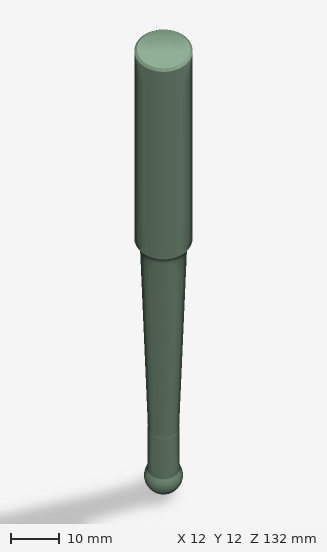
import cadquery as cq
import math

TOTAL_LENGTH = 132.0
SHANK_DIAMETER = 12.0
BALL_DIAMETER = 8.0

SHANK_BOTTOM_Z = 75.1
TOP_CHAMFER = 0.5
TAPER_TOP_Z = 73.4
TAPER_TOP_DIAMETER = 9.8
TAPER_BOTTOM_Z = 18.9
TAPER_BOTTOM_DIAMETER = 6.5

TIP_NECK_DIAMETER = 6.6
TIP_CHAMFER_HEIGHT = 0.8

shank_radius = SHANK_DIAMETER / 2
taper_top_radius = TAPER_TOP_DIAMETER / 2
taper_bottom_radius = TAPER_BOTTOM_DIAMETER / 2
tip_neck_radius = TIP_NECK_DIAMETER / 2
ball_radius = BALL_DIAMETER / 2


def make_holder():
    """Revolve the shank, its concave flare and the taper."""
    return (
        cq.Workplane("XZ")
        .moveTo(0, TAPER_BOTTOM_Z)
        .lineTo(taper_bottom_radius, TAPER_BOTTOM_Z)
        .lineTo(taper_top_radius, TAPER_TOP_Z)
        .tangentArcPoint((shank_radius, SHANK_BOTTOM_Z), relative=False)
        .lineTo(shank_radius, TOTAL_LENGTH - TOP_CHAMFER)
        .lineTo(shank_radius - TOP_CHAMFER, TOTAL_LENGTH)
        .lineTo(0, TOTAL_LENGTH)
        .close()
        .revolve(360, (0, 0, 0), (0, 1, 0))
    )


def make_ball_tip():
    """Revolve the ball, which rests on Z = 0, and the neck joining it to the holder."""
    ball_top_z = ball_radius + math.sqrt(ball_radius**2 - tip_neck_radius**2)
    return (
        cq.Workplane("XZ")
        .moveTo(0, 0)
        .threePointArc((ball_radius, ball_radius), (tip_neck_radius, ball_top_z))
        .lineTo(tip_neck_radius, TAPER_BOTTOM_Z - TIP_CHAMFER_HEIGHT)
        .lineTo(taper_bottom_radius, TAPER_BOTTOM_Z)
        .lineTo(0, TAPER_BOTTOM_Z)
        .close()
        .revolve(360, (0, 0, 0), (0, 1, 0))
    )


holder = make_holder()
ball_tip = make_ball_tip()

result = cq.Compound.makeCompound([holder.val(), ball_tip.val()])